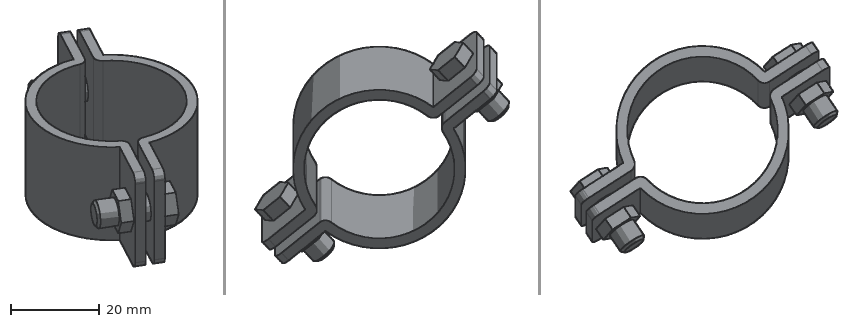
import cadquery as cq
import math


clamp_height = 25.0
strip_thickness = 2.5
ring_inner_radius = 17.0
ring_outer_radius = ring_inner_radius + strip_thickness
flange_gap = 2.0
flange_length = 13.0
flange_corner_radius = 2.0
bend_radius = 2.0

flange_inner_y = flange_gap / 2
flange_outer_y = flange_inner_y + strip_thickness
flange_root_x = math.sqrt(ring_outer_radius**2 - flange_outer_y**2)
flange_end_x = flange_root_x + flange_length

bend_center_y = flange_inner_y + bend_radius
bend_center_x = math.sqrt((ring_inner_radius + bend_radius)**2 - bend_center_y**2)
bend_angle = math.atan2(bend_center_y, bend_center_x)
bend_bore_x = ring_inner_radius * math.cos(bend_angle)
bend_bore_y = ring_inner_radius * math.sin(bend_angle)
bend_middle_angle = (bend_angle + math.pi + 1.5 * math.pi) / 2
bend_middle_x = bend_center_x + bend_radius * math.cos(bend_middle_angle)
bend_middle_y = bend_center_y + bend_radius * math.sin(bend_middle_angle)

bolt_diameter = 6.5
bolt_edge_distance = 6.0
bolt_x = flange_end_x - bolt_edge_distance
bolt_chamfer = 0.65
hex_corner_diameter = 10.0
head_height = 3.5
nut_height = 3.0
bolt_tip_overhang = 8.0
head_top_y = flange_outer_y + head_height
bolt_tip_y = -(flange_outer_y + bolt_tip_overhang)


def along_minus_y(start_y, x):
    """Workplane facing -Y at the given Y, centred on the given X."""
    return cq.Workplane("XZ", origin=(x, start_y, 0))


def make_half_clamp(side):
    """Half ring with two flanges; side is +1 for the +Y half and -1 for the -Y half."""
    half = (
        cq.Workplane("XY", origin=(0, 0, -clamp_height / 2))
        .moveTo(-flange_end_x, side * flange_outer_y)
        .lineTo(-flange_root_x, side * flange_outer_y)
        .threePointArc((0, side * ring_outer_radius), (flange_root_x, side * flange_outer_y))
        .lineTo(flange_end_x, side * flange_outer_y)
        .lineTo(flange_end_x, side * flange_inner_y)
        .lineTo(bend_center_x, side * flange_inner_y)
        .threePointArc((bend_middle_x, side * bend_middle_y), (bend_bore_x, side * bend_bore_y))
        .threePointArc((0, side * ring_inner_radius), (-bend_bore_x, side * bend_bore_y))
        .threePointArc((-bend_middle_x, side * bend_middle_y), (-bend_center_x, side * flange_inner_y))
        .lineTo(-flange_end_x, side * flange_inner_y)
        .close()
        .extrude(clamp_height)
    )
    for end in (">X", "<X"):
        half = half.faces(end).edges("|Y").fillet(flange_corner_radius)
    for x in (-bolt_x, bolt_x):
        hole = along_minus_y(flange_outer_y, x).circle(bolt_diameter / 2).extrude(2 * flange_outer_y)
        half = half.cut(hole)
    return half


def make_hex(start_y, height, x):
    """Hexagonal block with corners on the X axis, reaching from start_y towards -Y."""
    return along_minus_y(start_y, x).polygon(6, hex_corner_diameter).extrude(height)


def make_bolt(x):
    """Hex bolt with its nut, head on the +Y side and chamfered tip on the -Y side."""
    shank = (
        along_minus_y(flange_outer_y, x)
        .circle(bolt_diameter / 2)
        .extrude(flange_outer_y - bolt_tip_y)
        .faces("<Y")
        .chamfer(bolt_chamfer)
    )
    head = make_hex(head_top_y, head_height, x)
    nut = make_hex(-flange_outer_y, nut_height, x)
    return shank.union(head).union(nut)


half_clamps = [make_half_clamp(side) for side in (1, -1)]
bolts = [make_bolt(x) for x in (-bolt_x, bolt_x)]

result = cq.Compound.makeCompound([body.val() for body in half_clamps + bolts])